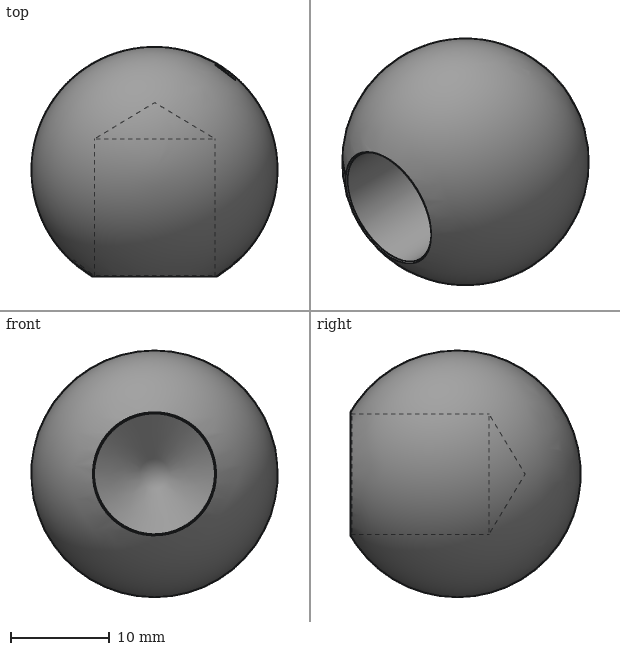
import cadquery as cq
import math

ball_diameter = 25.0
mouth_diameter = 12.5
hole_diameter = 12.2
countersink_angle = 45.0
hole_depth = 14.0
drill_point_angle = 118.0
seam_angle = 60.0

ball_radius = ball_diameter / 2
mouth_radius = mouth_diameter / 2
hole_radius = hole_diameter / 2
countersink_slope = math.tan(math.radians(countersink_angle))
mouth_y = -math.sqrt(ball_radius**2 - mouth_radius**2)
countersink_end_y = mouth_y + (mouth_radius - hole_radius) / countersink_slope
wall_end_y = mouth_y + hole_depth
drill_point_y = wall_end_y + hole_radius / math.tan(math.radians(drill_point_angle / 2))

cutter_start_y = -ball_diameter
cutter_start_radius = mouth_radius + (mouth_y - cutter_start_y) * countersink_slope


def make_ball():
    """Ball centred on the origin, with its poles on the Z axis."""
    ball = cq.Workplane("XY").sphere(ball_radius)
    return ball.rotate((0, 0, 0), (0, 0, 1), seam_angle)


def make_hole_cutter():
    """Blind hole along +Y: countersunk mouth, straight wall and conical drill point."""
    half_profile = (
        cq.Workplane("XY")
        .moveTo(0, cutter_start_y)
        .lineTo(cutter_start_radius, cutter_start_y)
        .lineTo(hole_radius, countersink_end_y)
        .lineTo(hole_radius, wall_end_y)
        .lineTo(0, drill_point_y)
        .close()
    )
    return half_profile.revolve(360, (0, 0, 0), (0, 1, 0))


result = make_ball().cut(make_hole_cutter())